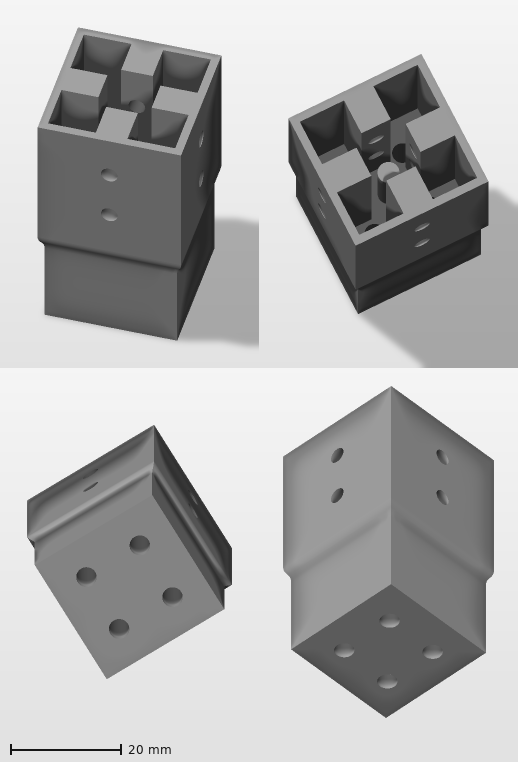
import cadquery as cq
import math

height = 48.0
head_width = 27.0
plug_width = 24.95
plug_height = 17.0
shoulder_height = 3.3
head_base = plug_height + shoulder_height

cavity_width = 23.9
cavity_floor = head_base
rib_width = 5.95
rib_tip_gap = 10.0

post_diameter = 4.0
post_top = 33.6
floor_hole_diameter = 3.7
floor_hole_spacing = 11.35
cross_hole_diameter = 3.1
cross_hole_heights = (39.5, 29.45)


def side_profile(plane):
    """Extrude the side outline, whose shoulder is an S of two equal arcs."""
    head_half = head_width / 2
    plug_half = plug_width / 2
    arc_inset = (head_half - plug_half) / 2
    arc_rise = shoulder_height / 2
    radius = (arc_inset**2 + arc_rise**2) / (2 * arc_inset)
    half_angle = math.asin(arc_rise / radius) / 2
    mid_inset = radius * (1 - math.cos(half_angle))
    mid_rise = radius * math.sin(half_angle)
    middle = (plug_half + arc_inset, plug_height + arc_rise)
    half = (
        cq.Workplane(plane)
        .lineTo(plug_half, 0)
        .lineTo(plug_half, plug_height)
        .threePointArc((plug_half + mid_inset, plug_height + mid_rise), middle)
        .threePointArc((head_half - mid_inset, head_base - mid_rise), (head_half, head_base))
        .lineTo(head_half, height)
        .lineTo(0, height)
        .close()
        .extrude(head_width / 2, both=True)
    )
    return half.union(half.rotate((0, 0, 0), (0, 0, 1), 180))


def cavity():
    """Square pocket less the four ribs and the central post."""
    depth = height - cavity_floor
    floor = cq.Workplane("XY").workplane(offset=cavity_floor)
    pocket = floor.rect(cavity_width, cavity_width).extrude(depth)
    ribs = floor.rect(head_width, rib_width).extrude(depth)
    ribs = ribs.union(floor.rect(rib_width, head_width).extrude(depth))
    ribs = ribs.cut(floor.rect(rib_tip_gap, rib_tip_gap).extrude(depth))
    post = floor.circle(post_diameter / 2).extrude(post_top - cavity_floor)
    return pocket.cut(ribs).cut(post)


def cross_hole(plane, hole_height, start, end):
    """Round cutter along the plane normal, between two distances from the axis."""
    return (
        cq.Workplane(plane)
        .workplane(offset=start)
        .center(0, hole_height)
        .circle(cross_hole_diameter / 2)
        .extrude(end - start)
    )


body = side_profile("XZ").intersect(side_profile("YZ"))
body = body.cut(cavity())

floor_holes = (
    cq.Workplane("XY")
    .rect(floor_hole_spacing, floor_hole_spacing, forConstruction=True)
    .vertices()
    .circle(floor_hole_diameter / 2)
    .extrude(head_base)
)
body = body.cut(floor_holes)

for plane in ("XZ", "YZ"):
    for hole_height in cross_hole_heights:
        for side in (-1, 1):
            inner = side * rib_tip_gap / 2
            outer = side * head_width / 2
            body = body.cut(cross_hole(plane, hole_height, inner, outer))

result = body